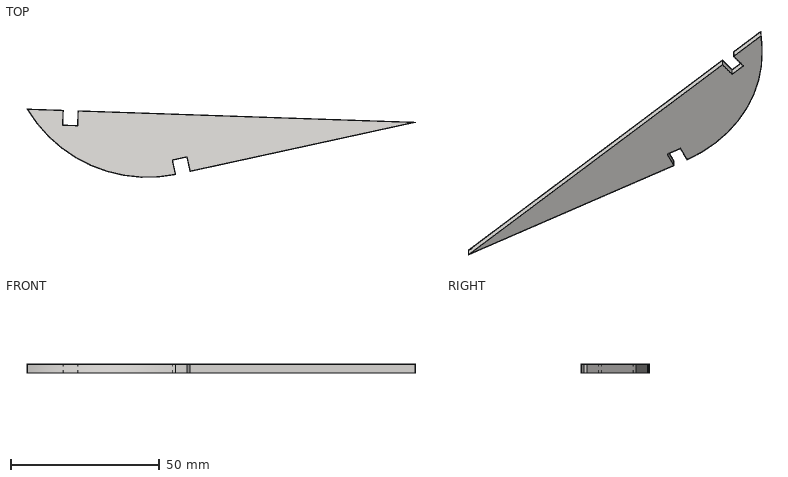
import cadquery as cq
import math

length = 131.0
depth = 23.0
thickness = 3.0
tip_drop = 4.5
belly_x = 40.6
slot_width = 5.0
slot_depth = 5.0
upper_slot_x = 14.7
lower_slot_x = 52.5

nose = (0, 0)
tip = (length, -tip_drop)

belly_radius = (belly_x**2 + depth**2) / (2 * depth)
belly_center_y = belly_radius - depth

center_to_tip_x = tip[0] - belly_x
center_to_tip_y = tip[1] - belly_center_y
center_distance = math.hypot(center_to_tip_x, center_to_tip_y)
lower_slope = math.atan2(center_to_tip_y, center_to_tip_x) + math.asin(belly_radius / center_distance)
upper_slope = math.atan2(-tip_drop, length)


def belly_point(angle):
    """Point on the belly circle, with angle measured from its lowest point."""
    return (
        belly_x + belly_radius * math.sin(angle),
        belly_center_y - belly_radius * math.cos(angle),
    )


def edge_slot(mouth_x, slope):
    """Cutter reaching slot_depth to both sides of a straight edge through the tip."""
    mouth_y = tip[1] + (mouth_x - tip[0]) * math.tan(slope)
    return (
        cq.Workplane("XY")
        .box(slot_width, 2 * slot_depth, thickness, centered=(True, True, False))
        .rotate((0, 0, 0), (0, 0, 1), math.degrees(slope))
        .translate((mouth_x, mouth_y, 0))
    )


plate = (
    cq.Workplane("XY")
    .moveTo(*nose)
    .lineTo(*tip)
    .lineTo(*belly_point(lower_slope))
    .threePointArc(belly_point(0), nose)
    .close()
    .extrude(thickness)
)

result = plate.cut(edge_slot(upper_slot_x, upper_slope)).cut(edge_slot(lower_slot_x, lower_slope))